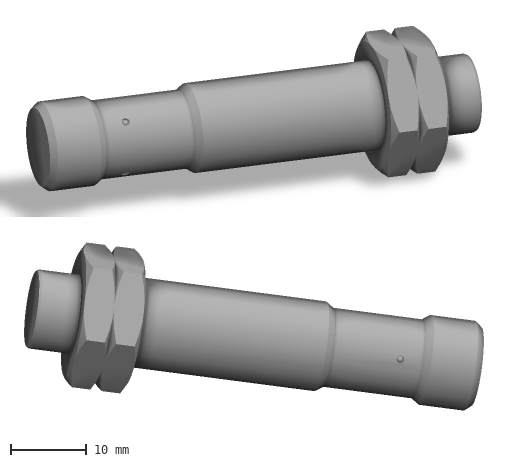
import cadquery as cq
import math

LENGTH = 60.0
BARREL_DIAMETER = 12.0
NECK_DIAMETER = 10.55
FRONT_Y = -LENGTH / 2
REAR_Y = LENGTH / 2
HEAD_LENGTH = 8.0
WAIST_LENGTH = 12.0
CONE_LENGTH = 1.1
FRONT_CHAMFER_LENGTH = 0.9
REAR_CHAMFER_LENGTH = 0.35
REAR_CHAMFER_DEPTH = 0.2
REAR_END_LENGTH = 5.65

WINDOW_COUNT = 4
WINDOW_DIAMETER = 1.0
WINDOW_DEPTH = 0.3
LENS_RADIUS = 0.5
LENS_RECESS = 0.05
WINDOW_FIRST_ANGLE = 45.0
WINDOW_Y = FRONT_Y + 11.0

NUT_COUNT = 2
NUT_ACROSS_FLATS = 17.0
NUT_ACROSS_CORNERS = NUT_ACROSS_FLATS / math.cos(math.pi / 6)
NUT_THICKNESS = 4.0
NUT_CHAMFER_ANGLE = 30.0
NUT_REAR_Y = REAR_Y - REAR_END_LENGTH


def revolve_about_y(points):
    """Turn a closed (radius, y) outline once around the Y axis."""
    return cq.Workplane("XY").polyline(points).close().revolve(360, (0, 0, 0), (0, 1, 0))


def make_barrel():
    barrel_radius = BARREL_DIAMETER / 2
    neck_radius = NECK_DIAMETER / 2
    waist_front_y = FRONT_Y + HEAD_LENGTH
    waist_rear_y = waist_front_y + WAIST_LENGTH
    barrel = revolve_about_y([
        (0, FRONT_Y),
        (neck_radius, FRONT_Y),
        (barrel_radius, FRONT_Y + FRONT_CHAMFER_LENGTH),
        (barrel_radius, waist_front_y - CONE_LENGTH),
        (neck_radius, waist_front_y),
        (neck_radius, waist_rear_y),
        (barrel_radius, waist_rear_y + CONE_LENGTH),
        (barrel_radius, NUT_REAR_Y),
        (neck_radius, NUT_REAR_Y),
        (neck_radius, REAR_Y - REAR_CHAMFER_LENGTH),
        (neck_radius - REAR_CHAMFER_DEPTH, REAR_Y),
        (0, REAR_Y),
    ])
    return cut_windows(barrel)


def cut_windows(barrel):
    neck_radius = NECK_DIAMETER / 2
    lens_centre_z = neck_radius - LENS_RECESS - LENS_RADIUS
    lens = cq.Workplane("XY", origin=(0, WINDOW_Y, lens_centre_z)).sphere(LENS_RADIUS)
    cutter = (
        cq.Workplane("XY", origin=(0, WINDOW_Y, neck_radius - WINDOW_DEPTH))
        .circle(WINDOW_DIAMETER / 2)
        .extrude(2 * WINDOW_DEPTH)
        .cut(lens)
    )
    for index in range(WINDOW_COUNT):
        angle = WINDOW_FIRST_ANGLE + index * 360 / WINDOW_COUNT
        barrel = barrel.cut(cutter.rotate((0, 0, 0), (0, 1, 0), angle))
    return barrel


def make_nut(front_y):
    """Hexagon nut with corners on the X axis and both faces chamfered."""
    rear_y = front_y + NUT_THICKNESS
    hexagon = (
        cq.Workplane("XZ", origin=(0, rear_y, 0))
        .polygon(6, NUT_ACROSS_CORNERS)
        .circle(BARREL_DIAMETER / 2)
        .extrude(NUT_THICKNESS)
    )
    face_radius = NUT_ACROSS_FLATS / 2
    corner_radius = NUT_ACROSS_CORNERS / 2
    chamfer_length = (corner_radius - face_radius) * math.tan(math.radians(NUT_CHAMFER_ANGLE))
    chamfer_envelope = revolve_about_y([
        (0, front_y),
        (face_radius, front_y),
        (corner_radius, front_y + chamfer_length),
        (corner_radius, rear_y - chamfer_length),
        (face_radius, rear_y),
        (0, rear_y),
    ])
    return hexagon.intersect(chamfer_envelope)


barrel = make_barrel()
nuts = [make_nut(NUT_REAR_Y - (index + 1) * NUT_THICKNESS) for index in range(NUT_COUNT)]

result = cq.Compound.makeCompound([barrel.val(), *[nut.val() for nut in nuts]])